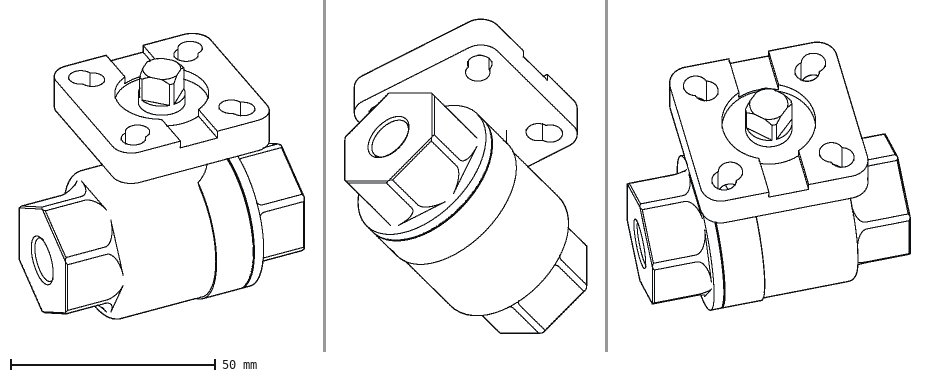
import cadquery as cq
import math

overall_height = 66.3
overall_length = 65.0

cap_diameter = 38.6
body_diameter = 37.6
body_end = 18.4
cap_start = 5.65
body_rim_radius = 2.05
seam_position = 15.9
seam_width = 0.25
seam_depth = 0.3

hex_flats = 27.0
hex_corner_flats = 30.1
hex_end_chamfer = 0.4
hex_root_radius = 3.05
bore_diameter = 11.0
bore_chamfer = 0.65

neck_diameter = 20.0
neck_body_fillet = 3.0
neck_plate_fillet = 2.0

plate_side = 42.0
plate_thickness = 8.95
plate_corner_radius = 5.0
stem_above_plate = 7.15
slot_width = 10.0
slot_depth = 2.0
recess_diameter = 23.0
recess_depth = 2.65
bolt_hole_diameter = 6.0
bolt_circle_diameters = (36.0, 42.0)

stem_diameter = 11.5
stem_flats = 8.9
stem_tip_chamfer = 1.05

selection_margin = 0.65

half_length = overall_length / 2
stem_top = overall_height - cap_diameter / 2
plate_top = stem_top - stem_above_plate
plate_bottom = plate_top - plate_thickness
recess_floor = plate_top - recess_depth


def cylinder_along_y(diameter, y_start, y_end):
    """Solid cylinder on the flow axis between two Y positions."""
    length = y_end - y_start
    return cq.Workplane("XZ", origin=(0, y_start, 0)).circle(diameter / 2).extrude(-length)


def cylinder_along_z(diameter, z_start, z_end):
    """Solid cylinder on the stem axis between two Z levels."""
    return cq.Workplane("XY", origin=(0, 0, z_start)).circle(diameter / 2).extrude(z_end - z_start)


def edges_around_neck(z_start, z_end):
    """Selector for edges that lie wholly around the neck between two Z levels."""
    reach = neck_diameter / 2 + selection_margin
    return cq.selectors.BoxSelector((-reach, -reach, z_start), (reach, reach, z_end), boundingbox=True)


def make_body_with_neck():
    """Round body and neck, blended together, with the wider cap at +Y."""
    barrel = cylinder_along_y(body_diameter, -body_end, body_end)
    neck = cylinder_along_z(neck_diameter, 0, plate_bottom)
    joint = edges_around_neck(0, plate_bottom - selection_margin)
    body = barrel.union(neck).edges(joint).fillet(neck_body_fillet)
    body = body.faces("<Y").edges().fillet(body_rim_radius)
    body = body.union(cylinder_along_y(cap_diameter, cap_start, body_end))
    seam_start = seam_position - seam_width
    seam_floor = cylinder_along_y(cap_diameter - 2 * seam_depth, seam_start, seam_position)
    seam = cylinder_along_y(cap_diameter, seam_start, seam_position).cut(seam_floor)
    return body.cut(seam)


def make_hex_ends():
    """Both hexagonal ends as one bar, its flats flaring out where they meet the body."""
    half_flats = hex_flats / 2
    flare_width = half_flats + hex_root_radius
    flare_start = body_end + hex_root_radius
    arc_offset = hex_root_radius * (1 - math.sqrt(0.5))
    quarter_bar = (
        cq.Workplane("XY")
        .moveTo(0, 0)
        .lineTo(flare_width, 0)
        .lineTo(flare_width, body_end)
        .threePointArc((half_flats + arc_offset, body_end + arc_offset), (half_flats, flare_start))
        .lineTo(half_flats, half_length - hex_end_chamfer)
        .lineTo(half_flats - hex_end_chamfer, half_length)
        .lineTo(0, half_length)
        .close()
        .extrude(cap_diameter / 2, both=True)
    )
    half_bar = quarter_bar.union(quarter_bar.mirror("YZ"))
    flat_pair = half_bar.union(half_bar.mirror("XZ"))

    corner_hexagon_diameter = hex_corner_flats / math.cos(math.radians(30))
    bar = (
        cq.Workplane("XZ")
        .polygon(6, corner_hexagon_diameter)
        .extrude(half_length, both=True)
    )
    for angle in (0, 60, 120):
        bar = bar.intersect(flat_pair.rotate((0, 0, 0), (0, 1, 0), angle))
    return bar


def make_plate():
    """Mounting plate with its cross slot, round recess and double bolt holes."""
    plate = (
        cq.Workplane("XY", origin=(0, 0, plate_bottom))
        .rect(plate_side, plate_side)
        .extrude(plate_thickness)
        .edges("|Z")
        .fillet(plate_corner_radius)
    )
    slot = (
        cq.Workplane("XY", origin=(0, 0, plate_top - slot_depth))
        .rect(plate_side, slot_width)
        .extrude(slot_depth)
    )
    plate = plate.cut(slot).cut(cylinder_along_z(recess_diameter, recess_floor, plate_top))
    for bolt_circle_diameter in bolt_circle_diameters:
        holes = (
            cq.Workplane("XY", origin=(0, 0, plate_bottom))
            .polarArray(bolt_circle_diameter / 2, 45, 360, 4)
            .circle(bolt_hole_diameter / 2)
            .extrude(plate_thickness)
        )
        plate = plate.cut(holes)
    return plate


def make_stem():
    """Round stem up to the plate top, then a square drive whose corners point along X and Y."""
    drive = cylinder_along_z(stem_diameter, plate_top, stem_top).faces(">Z").chamfer(stem_tip_chamfer)
    square = (
        cq.Workplane("XY", origin=(0, 0, plate_top))
        .transformed(rotate=(0, 0, 45))
        .rect(stem_flats, stem_flats)
        .extrude(stem_top - plate_top)
    )
    return cylinder_along_z(stem_diameter, recess_floor, plate_top).union(drive.intersect(square))


def make_bore():
    """Through bore, widened by a chamfer at both mouths."""
    radius = bore_diameter / 2
    mouth_radius = radius + bore_chamfer
    profile = [
        (0, -half_length),
        (mouth_radius, -half_length),
        (radius, -half_length + bore_chamfer),
        (radius, half_length - bore_chamfer),
        (mouth_radius, half_length),
        (0, half_length),
    ]
    return cq.Workplane("XY").polyline(profile).close().revolve(360, (0, 0, 0), (0, 1, 0))


result = make_body_with_neck().union(make_plate())
neck_top = edges_around_neck(plate_bottom - selection_margin, plate_bottom + selection_margin)
result = result.edges(neck_top).fillet(neck_plate_fillet)
result = result.union(make_hex_ends()).union(make_stem()).cut(make_bore())